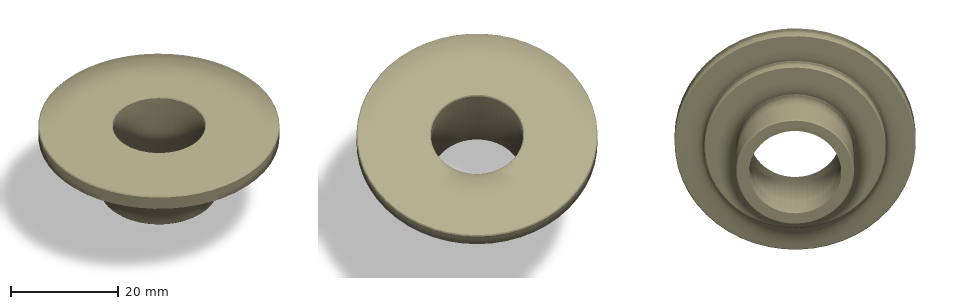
import cadquery as cq

flange_diameter = 44.9
flange_thickness = 3.0
step_diameter = 33.8
step_thickness = 2.0
hub_diameter = 21.9
hub_length = 10.1
bore_diameter = 17.2
edge_chamfer = 0.2
corner_fill = 0.2

flange_radius = flange_diameter / 2
step_radius = step_diameter / 2
hub_radius = hub_diameter / 2
bore_radius = bore_diameter / 2
step_bottom = hub_length
flange_bottom = step_bottom + step_thickness
flange_top = flange_bottom + flange_thickness


def half_section():
    """Closed (radius, Z) outline of the wall, from the hub's lower end up and round to the bore."""
    return (
        cq.Workplane("XZ")
        .moveTo(bore_radius, 0)
        .lineTo(hub_radius - edge_chamfer, 0)
        .lineTo(hub_radius, edge_chamfer)
        .lineTo(hub_radius, step_bottom - corner_fill)
        .lineTo(hub_radius + corner_fill, step_bottom)
        .lineTo(step_radius - edge_chamfer, step_bottom)
        .lineTo(step_radius, step_bottom + edge_chamfer)
        .lineTo(step_radius, flange_bottom - corner_fill)
        .lineTo(step_radius + corner_fill, flange_bottom)
        .lineTo(flange_radius - edge_chamfer, flange_bottom)
        .lineTo(flange_radius, flange_bottom + edge_chamfer)
        .lineTo(flange_radius, flange_top - edge_chamfer)
        .lineTo(flange_radius - edge_chamfer, flange_top)
        .lineTo(bore_radius + edge_chamfer, flange_top)
        .lineTo(bore_radius, flange_top - edge_chamfer)
        .close()
    )


result = half_section().revolve(360, (0, 0, 0), (0, 1, 0))